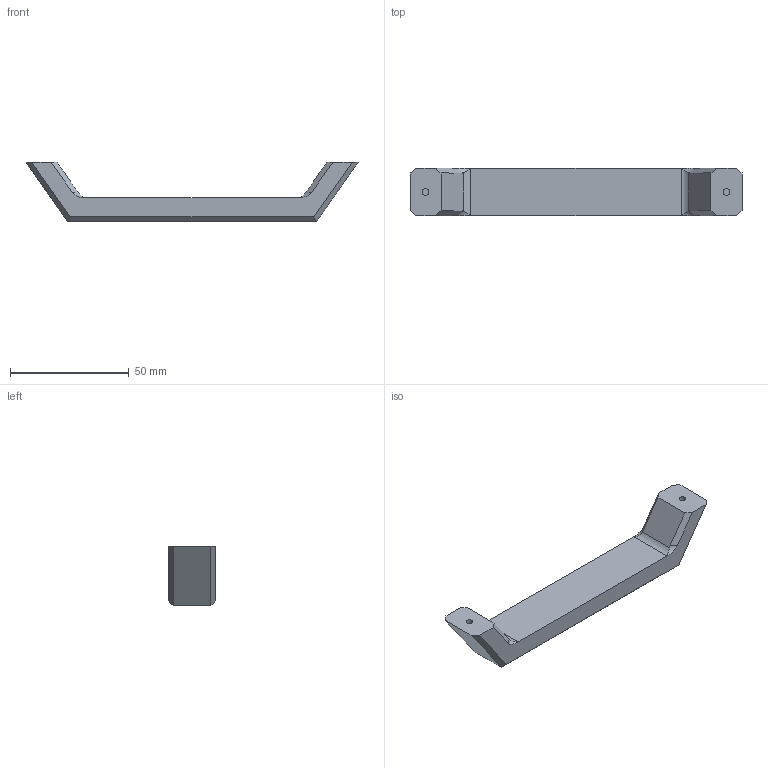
import cadquery as cq
import math

LENGTH = 140.0
WIDTH = 20.0
HEIGHT = 25.0
GRIP_THICKNESS = 10.0
LEG_LEAN = math.radians(35.0)
LEG_FOOT_LENGTH = 13.1
CHAMFER = 2.0
INNER_FILLET = 4.0
HOLE_DIAMETER = 2.85
HOLE_SPACING = 127.0
HOLE_DEPTH = 6.0

HALF_LENGTH = LENGTH / 2
HALF_WIDTH = WIDTH / 2
LEG_SLOPE = math.tan(LEG_LEAN)
BASE_HALF_LENGTH = HALF_LENGTH - HEIGHT * LEG_SLOPE
INNER_TOP_X = HALF_LENGTH - LEG_FOOT_LENGTH
INNER_CORNER_X = INNER_TOP_X - (HEIGHT - GRIP_THICKNESS) * LEG_SLOPE

TRIM = 2.0
BLANK_HALF_WIDTH = HALF_WIDTH + TRIM
BLANK_CHAMFER = CHAMFER + TRIM
EDGE_TOLERANCE = 0.01


def handle_blank():
    """Sharp-edged bar with its two legs leaning outwards."""
    outline = [
        (-BASE_HALF_LENGTH, 0),
        (BASE_HALF_LENGTH, 0),
        (HALF_LENGTH, HEIGHT),
        (INNER_TOP_X, HEIGHT),
        (INNER_CORNER_X, GRIP_THICKNESS),
        (-INNER_CORNER_X, GRIP_THICKNESS),
        (-INNER_TOP_X, HEIGHT),
        (-HALF_LENGTH, HEIGHT),
    ]
    return cq.Workplane("XZ").polyline(outline).close().extrude(BLANK_HALF_WIDTH, both=True)


def is_chamfered(edge):
    """Long edges on both sides, except the edges of the grip top and the flat leg ends."""
    center = edge.Center()
    on_side = abs(abs(center.y) - BLANK_HALF_WIDTH) < EDGE_TOLERANCE
    on_grip_top = abs(center.z - GRIP_THICKNESS) < EDGE_TOLERANCE
    on_leg_end = abs(center.z - HEIGHT) < EDGE_TOLERANCE
    return on_side and not on_grip_top and not on_leg_end


def is_inner_corner(edge):
    """Edges where a leg, with its chamfers, rises from the grip top."""
    box = edge.BoundingBox()
    low = abs(box.zmin - GRIP_THICKNESS) < EDGE_TOLERANCE
    flat = box.zlen < EDGE_TOLERANCE
    across = box.ylen > EDGE_TOLERANCE
    return low and flat and across


def chamfer_sides(body):
    edges = body.edges().vals()
    return body.newObject([edge for edge in edges if is_chamfered(edge)]).chamfer(BLANK_CHAMFER)


def round_inner_corners(body):
    edges = body.edges().vals()
    return body.newObject([edge for edge in edges if is_inner_corner(edge)]).fillet(INNER_FILLET)


def trim_to_width(body):
    return body.intersect(cq.Workplane("XY").box(LENGTH, WIDTH, HEIGHT, centered=(True, True, False)))


def screw_holes():
    """Blind holes going down from the flat leg ends."""
    return (
        cq.Workplane("XY", origin=(0, 0, HEIGHT))
        .pushPoints([(side * HOLE_SPACING / 2, 0) for side in (-1, 1)])
        .circle(HOLE_DIAMETER / 2)
        .extrude(-HOLE_DEPTH)
    )


body = handle_blank()
body = chamfer_sides(body)
body = round_inner_corners(body)
body = trim_to_width(body)
result = body.cut(screw_holes())